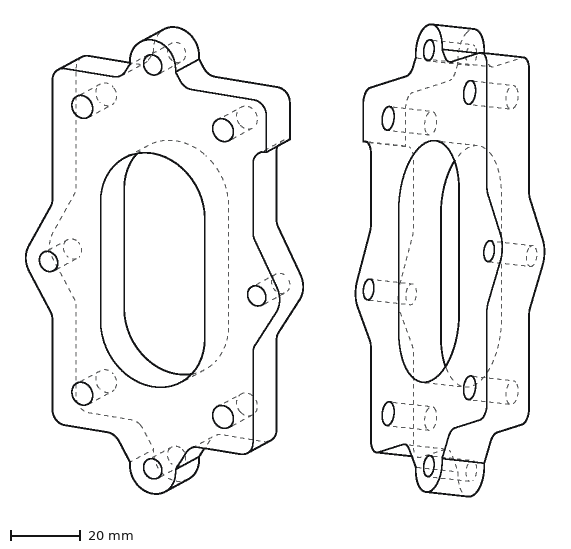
import cadquery as cq
import math

thickness = 14.0
half_width = 32.8
top_z = 55.0
bottom_z = -51.8
corner_radius = 4.1

tab_x = 37.1
tab_bottom_z = 40.0
tab_root_radius = 4.1

overall_height = 136.0
overall_width = 82.9
lug_radius = 7.5
lug_hole_diameter = 6.0
end_lug_z = overall_height / 2 - lug_radius
side_lug_x = overall_width / 2 - lug_radius
side_lug_z = -3.5
end_flank_angle = math.radians(32)
upper_flank_angle = math.radians(29)
lower_flank_angle = math.radians(32.3)
end_shoulder_z = 59.5
end_root_radius = 4.4
side_root_radius = 4.1

corner_hole_diameter = 6.8
corner_hole_x = 23.0
upper_hole_z = 44.5
lower_hole_z = -41.5

slot_width = 34.0
slot_top_z = 34.0
slot_bottom_z = -35.9


def prism(points):
    return cq.Workplane("XZ").polyline(points).close().extrude(-thickness)


def cylinders(points, diameter):
    return cq.Workplane("XZ").pushPoints(points).circle(diameter / 2).extrude(-thickness)


def end_root_x(edge_z):
    """Half width of an end lug where its sloping flanks meet the plate edge."""
    return lug_radius + (end_shoulder_z - abs(edge_z)) * math.tan(end_flank_angle)


def end_neck(edge_z):
    """Sloping flanks, then short straight sides up to the widest part of the lug."""
    root_x = end_root_x(edge_z)
    lug_z = math.copysign(end_lug_z, edge_z)
    shoulder_z = math.copysign(end_shoulder_z, edge_z)
    return prism([
        (-root_x, edge_z),
        (root_x, edge_z),
        (lug_radius, shoulder_z),
        (lug_radius, lug_z),
        (-lug_radius, lug_z),
        (-lug_radius, shoulder_z),
    ])


def side_tangent(angle, direction):
    """Point where a flank leaves the right lug; direction is 1 above, -1 below."""
    x = side_lug_x + lug_radius * math.cos(angle)
    z = side_lug_z + direction * lug_radius * math.sin(angle)
    return x, z


def side_root_z(angle, direction):
    """Height at which a tangent flank meets the plate side."""
    x, z = side_tangent(angle, direction)
    return z + direction * (x - half_width) / math.tan(angle)


upper_root_z = side_root_z(upper_flank_angle, 1)
lower_root_z = side_root_z(lower_flank_angle, -1)


def side_neck(side):
    outline = [
        (half_width, upper_root_z),
        side_tangent(upper_flank_angle, 1),
        (side_lug_x, side_lug_z),
        side_tangent(lower_flank_angle, -1),
        (half_width, lower_root_z),
    ]
    return prism([(side * x, z) for x, z in outline])


def fillet_corners(body, points, radius):
    """Round the edges along Y that pass through the given (x, z) points."""
    for x, z in points:
        corner = cq.selectors.NearestToPointSelector((x, thickness / 2, z))
        body = body.edges("|Y").edges(corner).fillet(radius)
    return body


plate = prism([
    (-half_width, bottom_z),
    (half_width, bottom_z),
    (half_width, tab_bottom_z),
    (tab_x, tab_bottom_z),
    (tab_x, top_z),
    (-half_width, top_z),
])

lug_centers = [
    (0, end_lug_z),
    (0, -end_lug_z),
    (-side_lug_x, side_lug_z),
    (side_lug_x, side_lug_z),
]
body = plate.union(cylinders(lug_centers, 2 * lug_radius))
for edge_z in (top_z, bottom_z):
    body = body.union(end_neck(edge_z))
for side in (-1, 1):
    body = body.union(side_neck(side))

outer_corners = [
    (-half_width, bottom_z),
    (half_width, bottom_z),
    (-half_width, top_z),
    (tab_x, top_z),
]
end_roots = [(side * end_root_x(z), z) for side in (-1, 1) for z in (top_z, bottom_z)]
side_roots = [(side * half_width, z) for side in (-1, 1) for z in (upper_root_z, lower_root_z)]
body = fillet_corners(body, outer_corners, corner_radius)
body = fillet_corners(body, end_roots, end_root_radius)
body = fillet_corners(body, side_roots, side_root_radius)
body = fillet_corners(body, [(half_width, tab_bottom_z)], tab_root_radius)

corner_holes = [(side * corner_hole_x, z) for side in (-1, 1) for z in (upper_hole_z, lower_hole_z)]
body = body.cut(cylinders(corner_holes, corner_hole_diameter))
body = body.cut(cylinders(lug_centers, lug_hole_diameter))

slot = (
    cq.Workplane("XZ")
    .center(0, (slot_top_z + slot_bottom_z) / 2)
    .slot2D(slot_top_z - slot_bottom_z, slot_width, 90)
    .extrude(-thickness)
)
result = body.cut(slot)